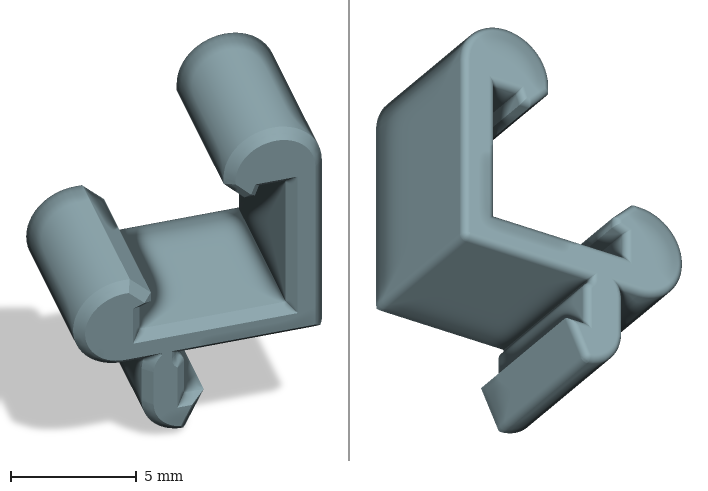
import cadquery as cq
import math

length = 7.0
wall = 1.5
bead_radius = 2.05
reach = 10.35
bead_center = reach - bead_radius
opening = 7.58
corner_radius = 0.3

lip_root = (2.61, opening)
lip_inner = (2.78, 7.11)
lip_outer = (3.22, 7.11)
lip_end = (2 * bead_radius, 7.99)

total_height = 14.19
leg_left = 5.73
leg_width = 1.76
leg_right = leg_left + leg_width
toe_trim = 0.011
leg_bottom = reach - total_height - toe_trim
barb_tip = 4.91
leg_root = 1.14
shoulder_top = 0.43
neck_radius = 0.24
swell_radius = 0.41
neck_bottom = -math.sqrt((neck_radius + swell_radius) ** 2 - swell_radius ** 2)
shoulder_radius = 1.42
toe = 5.75
foot_radius = leg_right - toe
barb_top = leg_bottom + foot_radius

rounded_end = 0.28
chamfered_end = 0.38


def at(across, up):
    """Profile point; distances across run from the long wall toward -Y."""
    return (-across, up)


def on_arc(center, radius, degrees):
    """Profile point on a circle, with the angle taken from the across direction."""
    angle = math.radians(degrees)
    return at(center[0] + radius * math.cos(angle), center[1] + radius * math.sin(angle))


def body_profile():
    top_center = (bead_radius, bead_center)
    side_center = (bead_center, bead_radius)
    return (
        cq.Workplane("YZ")
        .moveTo(*at(0, 0))
        .lineTo(*at(0, bead_center))
        .threePointArc(on_arc(top_center, bead_radius, 90), on_arc(top_center, bead_radius, 0))
        .lineTo(*at(*lip_end))
        .lineTo(*at(*lip_outer))
        .lineTo(*at(*lip_inner))
        .lineTo(*at(*lip_root))
        .lineTo(*at(wall, opening))
        .lineTo(*at(wall, wall))
        .lineTo(*at(opening, wall))
        .lineTo(*at(*lip_root[::-1]))
        .lineTo(*at(*lip_inner[::-1]))
        .lineTo(*at(*lip_outer[::-1]))
        .lineTo(*at(*lip_end[::-1]))
        .lineTo(*at(bead_center, 2 * bead_radius))
        .threePointArc(on_arc(side_center, bead_radius, 0), on_arc(side_center, bead_radius, -90))
        .close()
    )


def leg_profile():
    shoulder_center = (leg_right - shoulder_radius, neck_bottom)
    shoulder_angle = math.degrees(math.asin((shoulder_top - neck_bottom) / shoulder_radius))
    shoulder_start = on_arc(shoulder_center, shoulder_radius, shoulder_angle)
    foot_center = (toe, barb_top)
    neck_center = (leg_left, 0)
    swell_center = (leg_left + swell_radius, neck_bottom)
    swell_angle = math.degrees(math.asin(-neck_bottom / (neck_radius + swell_radius)))
    return (
        cq.Workplane("YZ")
        .moveTo(*at(leg_left + neck_radius, leg_root))
        .lineTo(shoulder_start[0], leg_root)
        .lineTo(*shoulder_start)
        .threePointArc(
            on_arc(shoulder_center, shoulder_radius, shoulder_angle / 2),
            at(leg_right, neck_bottom),
        )
        .lineTo(*on_arc(foot_center, foot_radius, 0))
        .threePointArc(on_arc(foot_center, foot_radius, -45), on_arc(foot_center, foot_radius, -90))
        .lineTo(*at(barb_tip, barb_top))
        .lineTo(*at(leg_left, barb_top))
        .lineTo(*at(leg_left, neck_bottom))
        .threePointArc(
            on_arc(swell_center, swell_radius, 180 - swell_angle / 2),
            on_arc(swell_center, swell_radius, 180 - swell_angle),
        )
        .threePointArc(
            on_arc(neck_center, neck_radius, -swell_angle / 2),
            on_arc(neck_center, neck_radius, 0),
        )
        .close()
    )


def finished_prism(profile, corner):
    """Extrude a profile, chamfer its +X end, then round one long corner and the -X end."""
    prism = profile.extrude(length).faces(">X").edges().chamfer(chamfered_end)
    across, up = at(*corner)
    long_edge = cq.selectors.NearestToPointSelector((length / 2, across, up))
    prism = prism.edges(long_edge).fillet(corner_radius)
    return prism.faces("<X").edges().fillet(rounded_end)


body = finished_prism(body_profile(), (0, 0))
leg = finished_prism(leg_profile(), (toe, leg_bottom))
result = body.union(leg)